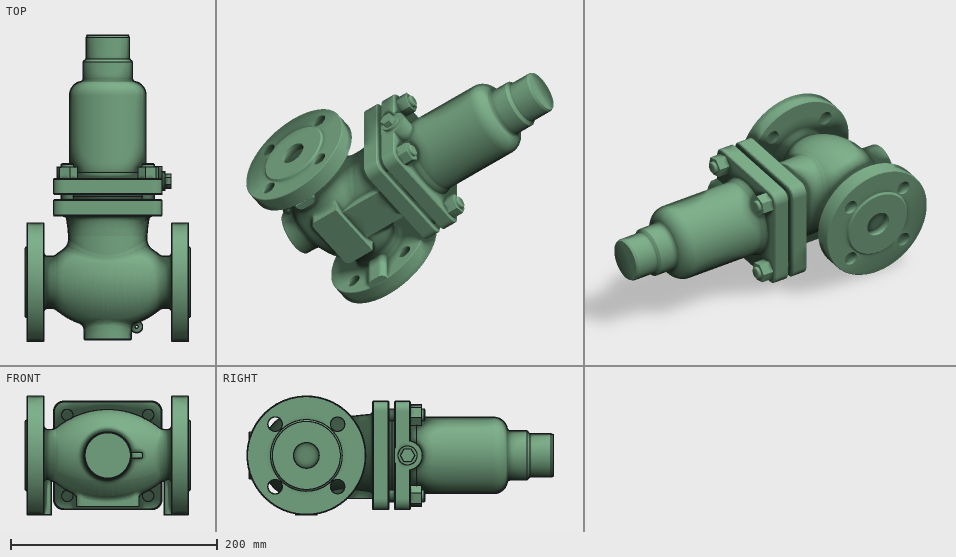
import cadquery as cq

flange_face_x = 80.0
raised_face_height = 1.8
raised_face_radius = 34.7
raised_face_bevel = 1.8
flange_radius = 57.5
flange_back_x = 61.7
flange_edge_bevel = 0.5
flange_root_fillet = 3.5
bolt_hole_count = 4
bolt_hole_start_angle = 45
bolt_hole_diameter = 14.0
bolt_circle_radius = 42.7
bore_diameter = 25.0
bore_depth = 8.0

pipe_neck_radius = 25.2
body_end_x = 51.5
body_radius = 44.5
body_end_fillet = 7.5

plate_side = 105.0
plate_corner_radius = 10.0
plate_edge_bevel = 1.0
lower_plate_y = 64.0
lower_plate_top_y = 80.0
upper_plate_y = 85.0
upper_plate_top_y = 100.5
lower_seat_radius = 43.0
lower_seat_top_y = 83.0
upper_seat_radius = 42.0

neck_top_radius = 39.7
neck_low_radius = 38.0
neck_straight_y = 44.5
neck_plate_fillet = 3.5
neck_body_fillet = 12.0

bonnet_radius = 37.0
bonnet_flare = 2.5
bonnet_flare_top_y = 106.5
shoulder_base_y = 181.0
shoulder_top_y = 194.2
collar_radius = 24.0
collar_root_fillet = 2.7
collar_top_y = 213.2
cap_radius = 21.0
cap_base_y = 216.1
cap_top_y = 239.0
cap_bevel_width = 1.05
cap_bevel_height = 2.5

stud_spacing = 78.3
stud_diameter = 12.0
stud_top_y = 114.7
stud_bevel = 1.0
stud_hole_diameter = 11.0
stud_recess = 0.3
nut_corner_diameter = 20.8
nut_height = 11.0
nut_turn = 15.0

plug_y = 97.8
plug_boss_radius = 14.2
plug_washer_diameter = 18.5
plug_washer_end_x = 55.1
plug_head_diameter = 14.0
plug_end_x = 61.5

boss_end_y = -55.7
boss_end_radius = 22.8
boss_root_radius = 24.3
boss_bevel = 1.0
boss_fillet = 6.0
eyelet_x = 28.0
eyelet_y = -43.0
eyelet_diameter = 12.0
eyelet_hole_diameter = 3.0
eyelet_thickness = 6.0
eyelet_edge_fillet = 1.8

foot_half_width = 30.2
foot_half_length = 15.0
foot_bottom_z = -49.5
foot_corner_radius = 5.0
foot_body_fillet = 5.3
foot_seam_low_z = -42.0
web_half_width = 19.3
web_bottom_z = -41.8

flange_foot_width = 20.8
flange_foot_inner_x = 54.5
flange_foot_corner_radius = 6.0


def cylinder_y(radius, start_y, end_y, x=0.0, z=0.0):
    """Cylinder parallel to Y between two heights."""
    return (
        cq.Workplane("XZ", origin=(x, start_y, z))
        .circle(radius)
        .extrude(start_y - end_y)
    )


def plate(start_y, end_y):
    """Square plate with rounded corners and broken rims."""
    return (
        cq.Workplane("XZ", origin=(0, start_y, 0))
        .rect(plate_side, plate_side)
        .extrude(start_y - end_y)
        .edges("|Y").fillet(plate_corner_radius)
        .faces("<Y or >Y").edges().chamfer(plate_edge_bevel)
    )


def make_body():
    """Barrel body revolved about the flow axis, ending in its pipe necks."""
    barrel = (
        cq.Workplane("XY")
        .moveTo(-flange_back_x, 0)
        .lineTo(-flange_back_x, pipe_neck_radius)
        .lineTo(-body_end_x, pipe_neck_radius)
        .threePointArc((0, body_radius), (body_end_x, pipe_neck_radius))
        .lineTo(flange_back_x, pipe_neck_radius)
        .lineTo(flange_back_x, 0)
        .close()
        .revolve(360, (0, 0, 0), (1, 0, 0))
    )
    reach = pipe_neck_radius + body_end_fillet
    for side in (-1, 1):
        near = (side * (body_end_x - 0.3), -reach, -reach)
        far = (side * (body_end_x + 0.3), reach, reach)
        seam_region = cq.selectors.BoxSelector(near, far)
        barrel = barrel.edges(seam_region).fillet(body_end_fillet)
    return barrel


def add_foot(body):
    """Foot centred under the barrel, blended into it at the front and sides."""
    foot = (
        cq.Workplane("XY")
        .rect(2 * foot_half_width, 2 * foot_half_length)
        .extrude(foot_bottom_z)
        .edges("|Z and <Y").fillet(foot_corner_radius)
    )
    seam_region = cq.selectors.BoxSelector(
        (-foot_half_width - 3, -foot_half_length - 3, foot_seam_low_z),
        (foot_half_width + 3, foot_half_length - 3, 0),
    )
    return body.union(foot).edges(seam_region).fillet(foot_body_fillet)


def make_foot_web():
    """Web that runs from the foot back to the lower plate."""
    return (
        cq.Workplane("XY", origin=(0, lower_plate_y / 2, 0))
        .rect(2 * web_half_width, lower_plate_y)
        .extrude(web_bottom_z)
    )


def add_body_neck(body):
    """Tapered neck that rises from the barrel to the lower plate."""
    neck = (
        cq.Workplane("XY")
        .lineTo(neck_low_radius, 0)
        .lineTo(neck_low_radius, neck_straight_y)
        .lineTo(neck_top_radius, lower_plate_y - neck_plate_fillet)
        .radiusArc((neck_top_radius + neck_plate_fillet, lower_plate_y), neck_plate_fillet)
        .lineTo(0, lower_plate_y)
        .close()
        .revolve(360, (0, 0, 0), (0, 1, 0))
    )
    seam_region = cq.selectors.BoxSelector((-41.5, 16.3, -41.5), (41.5, 41.5, 41.5))
    return body.union(neck).edges(seam_region).fillet(neck_body_fillet)


def add_bottom_boss(body):
    """Tapered boss below the barrel, blended into it."""
    boss = (
        cq.Workplane("XY")
        .lineTo(boss_root_radius, 0)
        .lineTo(boss_end_radius, boss_end_y + boss_bevel)
        .lineTo(boss_end_radius - boss_bevel, boss_end_y)
        .lineTo(0, boss_end_y)
        .close()
        .revolve(360, (0, 0, 0), (0, 1, 0))
    )
    seam_region = cq.selectors.BoxSelector((-26.7, -41.5, -26.7), (26.7, -26.7, 26.7))
    return body.union(boss).edges(seam_region).fillet(boss_fillet)


def make_flange_foot():
    """Short foot that drops from the pipe neck behind the flange."""
    length_x = flange_back_x - flange_foot_inner_x
    return (
        cq.Workplane("XY", origin=(flange_foot_inner_x + length_x / 2, 0, -flange_radius))
        .rect(length_x, flange_foot_width)
        .extrude(flange_radius - pipe_neck_radius / 2)
        .edges("|Z and <X").fillet(flange_foot_corner_radius)
    )


def make_flange():
    """Flange on the +X end with its raised face, root fillet and foot."""
    seat_x = flange_face_x - raised_face_height
    root_x = flange_back_x - flange_root_fillet
    flange = (
        cq.Workplane("XY")
        .moveTo(root_x, 0)
        .lineTo(root_x, pipe_neck_radius)
        .radiusArc((flange_back_x, pipe_neck_radius + flange_root_fillet), -flange_root_fillet)
        .lineTo(flange_back_x, flange_radius - flange_edge_bevel)
        .lineTo(flange_back_x + flange_edge_bevel, flange_radius)
        .lineTo(seat_x - flange_edge_bevel, flange_radius)
        .lineTo(seat_x, flange_radius - flange_edge_bevel)
        .lineTo(seat_x, raised_face_radius)
        .lineTo(flange_face_x, raised_face_radius - raised_face_bevel)
        .lineTo(flange_face_x, 0)
        .close()
        .revolve(360, (0, 0, 0), (1, 0, 0))
    )
    bolt_holes = (
        cq.Workplane("YZ", origin=(flange_back_x, 0, 0))
        .polarArray(bolt_circle_radius, bolt_hole_start_angle, 360, bolt_hole_count)
        .circle(bolt_hole_diameter / 2)
        .extrude(flange_face_x - flange_back_x)
    )
    return flange.cut(bolt_holes).union(make_flange_foot())


def make_bore():
    """Blind port in the +X flange."""
    return (
        cq.Workplane("YZ", origin=(flange_face_x, 0, 0))
        .circle(bore_diameter / 2)
        .extrude(-bore_depth)
    )


def make_bonnet():
    """Spring housing, collar and cap revolved about the bonnet axis."""
    flare_radius = bonnet_radius + bonnet_flare
    return (
        cq.Workplane("XY")
        .moveTo(0, upper_plate_y)
        .lineTo(flare_radius, upper_plate_y)
        .lineTo(flare_radius, upper_plate_top_y)
        .lineTo(bonnet_radius, bonnet_flare_top_y)
        .lineTo(bonnet_radius, shoulder_base_y)
        .tangentArcPoint((collar_radius + collar_root_fillet, shoulder_top_y), relative=False)
        .radiusArc((collar_radius, shoulder_top_y + collar_root_fillet), collar_root_fillet)
        .lineTo(collar_radius, collar_top_y)
        .lineTo(cap_radius, cap_base_y)
        .lineTo(cap_radius, cap_top_y - cap_bevel_height)
        .lineTo(cap_radius - cap_bevel_width, cap_top_y)
        .lineTo(0, cap_top_y)
        .close()
        .revolve(360, (0, 0, 0), (0, 1, 0))
    )


def make_stud(x, z):
    """Stud through both plates with a hex nut on the upper plate."""
    stud = cylinder_y(stud_diameter / 2, lower_plate_y, stud_top_y, x, z)
    stud = stud.faces(">Y").chamfer(stud_bevel)
    turn = nut_turn if x * z > 0 else -nut_turn
    nut = (
        cq.Workplane("XZ")
        .polygon(6, nut_corner_diameter)
        .extrude(-nut_height)
        .rotate((0, 0, 0), (0, 1, 0), turn)
        .translate((x, upper_plate_top_y, z))
    )
    return stud.union(nut)


def make_plug():
    """Vent boss on the +X side of the bonnet with washer and hex plug."""
    start = cq.Workplane("YZ", origin=(0, plug_y, 0))
    boss = start.circle(plug_boss_radius).extrude(plate_side / 2)
    above_plate_base = (
        cq.Workplane("XZ", origin=(0, upper_plate_y, 0))
        .rect(148.2, 148.2)
        .extrude(-59.3)
    )
    washer = start.circle(plug_washer_diameter / 2).extrude(plug_washer_end_x)
    head = start.polygon(6, plug_head_diameter).extrude(plug_end_x)
    return boss.intersect(above_plate_base).union(washer).union(head)


def make_eyelet():
    """Small sealing eyelet beside the bottom boss, and the hole through it."""
    start = cq.Workplane("XY", origin=(eyelet_x, eyelet_y, -eyelet_thickness / 2))
    eyelet = start.circle(eyelet_diameter / 2).extrude(eyelet_thickness)
    eyelet = eyelet.edges().fillet(eyelet_edge_fillet)
    hole = start.circle(eyelet_hole_diameter / 2).extrude(eyelet_thickness)
    return eyelet, hole


result = add_foot(make_body())
result = add_body_neck(result)
result = add_bottom_boss(result)
result = result.union(make_foot_web())

eyelet, eyelet_hole = make_eyelet()
result = result.union(eyelet).cut(eyelet_hole)

flange = make_flange()
bore = make_bore()
result = result.union(flange).union(flange.mirror("YZ"))
result = result.cut(bore).cut(bore.mirror("YZ"))

result = result.union(plate(lower_plate_y, lower_plate_top_y))
result = result.union(cylinder_y(lower_seat_radius, lower_plate_top_y, lower_seat_top_y))
result = result.union(cylinder_y(upper_seat_radius, lower_seat_top_y, upper_plate_y))
result = result.union(plate(upper_plate_y, upper_plate_top_y))
result = result.union(make_bonnet())
result = result.union(make_plug())

for stud_x in (-stud_spacing / 2, stud_spacing / 2):
    for stud_z in (-stud_spacing / 2, stud_spacing / 2):
        result = result.union(make_stud(stud_x, stud_z))
        recess = cylinder_y(
            stud_hole_diameter / 2, lower_plate_y, lower_plate_y + stud_recess, stud_x, stud_z
        )
        result = result.cut(recess)